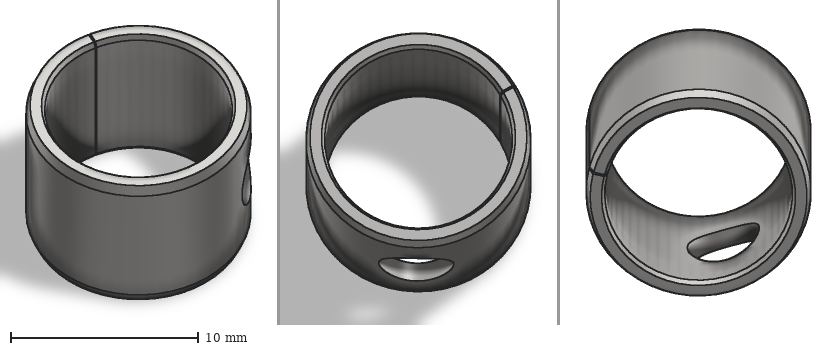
import cadquery as cq
import math

outer_diameter = 12.0
inner_diameter = 10.0
length = 9.0

outer_chamfer_length = 0.6
outer_chamfer_angle = 20.0
inner_chamfer_length = 0.3
inner_chamfer_angle = 30.0

joint_gap_angle = 1.0

oil_hole_diameter = 4.0
joint_to_oil_hole_angle = 120.0

outer_radius = outer_diameter / 2
inner_radius = inner_diameter / 2
half_length = length / 2
oil_hole_direction = 180.0 - joint_gap_angle - joint_to_oil_hole_angle


def chamfer_depth(chamfer_length, angle):
    """Radial depth of a chamfer from its axial length and angle to the axis."""
    return chamfer_length * math.tan(math.radians(angle))


def make_split_sleeve():
    """Sweep the wall section from the -X side almost all the way around Z."""
    outer_end_radius = outer_radius - chamfer_depth(outer_chamfer_length, outer_chamfer_angle)
    inner_end_radius = inner_radius + chamfer_depth(inner_chamfer_length, inner_chamfer_angle)
    outer_straight = half_length - outer_chamfer_length
    inner_straight = half_length - inner_chamfer_length
    section = [
        (-inner_radius, -inner_straight),
        (-inner_end_radius, -half_length),
        (-outer_end_radius, -half_length),
        (-outer_radius, -outer_straight),
        (-outer_radius, outer_straight),
        (-outer_end_radius, half_length),
        (-inner_end_radius, half_length),
        (-inner_radius, inner_straight),
    ]
    profile = cq.Workplane("XZ").polyline(section).close()
    return profile.revolve(360.0 - joint_gap_angle, (0, 0), (0, 1))


def make_oil_hole():
    """Cylinder running outwards from the axis through one wall."""
    cylinder = cq.Workplane("YZ").circle(oil_hole_diameter / 2).extrude(outer_diameter)
    return cylinder.rotate((0, 0, 0), (0, 0, 1), oil_hole_direction)


result = make_split_sleeve().cut(make_oil_hole())